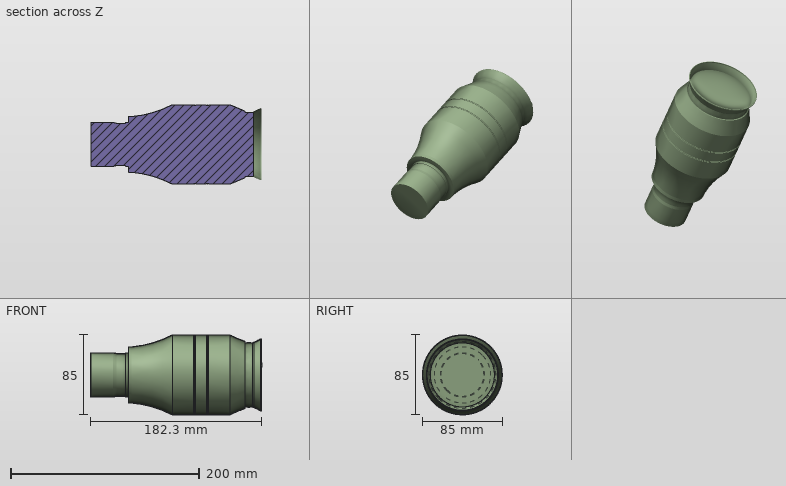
import cadquery as cq
import math

BARREL_END = 24.2
UNDERCUT_START = 27.5
UNDERCUT_END = 36.8
COLLAR_START = 40.1
COLLAR_END = 44.0
BODY_START = 86.8
BODY_END = 147.9
SHOULDER_END = 164.3
NECK_END = 172.0
OVERALL_LENGTH = 182.3

BARREL_RADIUS = 23.5
UNDERCUT_RADIUS = 22.8
COLLAR_RADIUS = 29.9
BODY_RADIUS = 42.5
SHOULDER_RADIUS = 35.5
NECK_RADIUS = 34.1
NECK_BULGE = 0.4
RIM_RADIUS = 38.3

FLARE_SAG = 2.2

GROOVE_PAIR_CENTERS = (110.5, 124.2)
GROOVE_PAIR_WIDTH = 2.2
RIDGE_WIDTH = 0.4
GROOVE_DEPTH = 0.5

MARK_HEIGHT = 0.5
RIM_X = OVERALL_LENGTH - MARK_HEIGHT
LIP_LENGTH = 1.1
LIP_BEVEL_LENGTH = 0.5
LIP_BEVEL_DEPTH = 0.2
CUP_FLOOR_THICKNESS = 1.5
CUP_WALL = 0.7
MARK_WIDTH = 4.0
MARK_Z = 10.5


def midpoint(start, end, offset):
    """Middle of a chord, moved sideways by offset (positive is away from the axis)."""
    run = end[0] - start[0]
    rise = end[1] - start[1]
    chord = math.hypot(run, rise)
    middle_x = (start[0] + end[0]) / 2 - offset * rise / chord
    middle_r = (start[1] + end[1]) / 2 + offset * run / chord
    return (middle_x, middle_r)


def make_body():
    """Solid of revolution about X, profile drawn as (x, radius)."""
    flare_start = (COLLAR_END, COLLAR_RADIUS)
    flare_end = (BODY_START, BODY_RADIUS)
    neck_start = (SHOULDER_END, NECK_RADIUS)
    neck_end = (NECK_END, NECK_RADIUS)
    lip_start = RIM_X - LIP_LENGTH
    cup_slope = (RIM_RADIUS - NECK_RADIUS) / (lip_start - NECK_END)
    floor_x = NECK_END + CUP_FLOOR_THICKNESS
    floor_radius = NECK_RADIUS + cup_slope * CUP_FLOOR_THICKNESS - CUP_WALL
    profile = (
        cq.Workplane("XY")
        .moveTo(0, 0)
        .lineTo(0, BARREL_RADIUS)
        .lineTo(BARREL_END, BARREL_RADIUS)
        .lineTo(UNDERCUT_START, UNDERCUT_RADIUS)
        .lineTo(UNDERCUT_END, UNDERCUT_RADIUS)
        .lineTo(UNDERCUT_END, BARREL_RADIUS)
        .lineTo(COLLAR_START, BARREL_RADIUS)
        .lineTo(COLLAR_START, COLLAR_RADIUS)
        .lineTo(*flare_start)
        .threePointArc(midpoint(flare_start, flare_end, -FLARE_SAG), flare_end)
        .lineTo(BODY_END, BODY_RADIUS)
        .lineTo(SHOULDER_END, SHOULDER_RADIUS)
        .lineTo(*neck_start)
        .threePointArc(midpoint(neck_start, neck_end, NECK_BULGE), neck_end)
        .lineTo(lip_start, RIM_RADIUS)
        .lineTo(RIM_X - LIP_BEVEL_LENGTH, RIM_RADIUS)
        .lineTo(RIM_X, RIM_RADIUS - LIP_BEVEL_DEPTH)
        .lineTo(RIM_X, RIM_RADIUS - CUP_WALL)
        .lineTo(lip_start, RIM_RADIUS - CUP_WALL)
        .lineTo(floor_x, floor_radius)
        .lineTo(floor_x, 0)
        .close()
    )
    return profile.revolve(360, (0, 0, 0), (1, 0, 0))


def make_groove_pair(center):
    """Two rings of square section, one on each side of the ridge."""
    groove_width = (GROOVE_PAIR_WIDTH - RIDGE_WIDTH) / 2
    pair = cq.Workplane("YZ")
    for start in (center - GROOVE_PAIR_WIDTH / 2, center + RIDGE_WIDTH / 2):
        ring = (
            cq.Workplane("YZ", origin=(start, 0, 0))
            .circle(BODY_RADIUS)
            .circle(BODY_RADIUS - GROOVE_DEPTH)
            .extrude(groove_width)
        )
        pair = pair.add(ring)
    return pair.combine()


def make_rim_mark():
    """Short arc of the rim raised along X, on the -Y side."""
    ring = (
        cq.Workplane("YZ", origin=(RIM_X, 0, 0))
        .circle(RIM_RADIUS - LIP_BEVEL_DEPTH)
        .circle(RIM_RADIUS - CUP_WALL)
        .extrude(MARK_HEIGHT)
    )
    window = cq.Workplane("XY").box(MARK_HEIGHT, RIM_RADIUS, MARK_WIDTH)
    window = window.translate((RIM_X + MARK_HEIGHT / 2, -RIM_RADIUS / 2, MARK_Z))
    return ring.intersect(window)


result = make_body()
for pair_center in GROOVE_PAIR_CENTERS:
    result = result.cut(make_groove_pair(pair_center))
result = result.union(make_rim_mark())